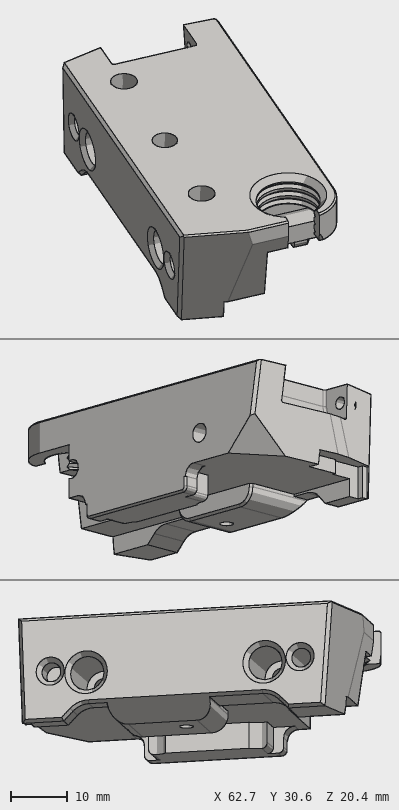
import cadquery as cq
LENGTH = 62.65
DEPTH = 30.6
HEIGHT = 20.35
MARGIN = 3.15
HALF_SPACE = 125.3

BODY_HEIGHT = 15.65
APRON_HEIGHT = 18.9
APRON_DEPTH = 3.8
RIGHT_LEG_DEPTH = 7.8
CENTER_X = 31.5
ARCH_HALF_WIDTH = 20.35
ARCH_Z = -16.05
ARCH_RADIUS = 4.1
FRONT_CHAMFER = 0.55
REAR_CHAMFER = 0.4
TOP_CHAMFER = 0.3
LEFT_REAR_CHAMFER = 0.55

CORNER_RADIUS = 6.9

BORE_X = 55.1
BORE_Y = 22.2
BORE_DIAMETER = 11.3
BORE_MOUTH_DIAMETER = 13.55
BORE_MOUTH_DEPTH = 1.1
BORE_SLOT_WIDTH = 5.9
THREAD_PITCH = 1.6
THREAD_DEPTH = 0.5
THREAD_TURNS = 3
LUG_THICKNESS = 5.9

RIGHT_FRONT_X = 59.75
RIGHT_SEAM_Y = 11.5
RIGHT_FRONT_SLOPE = (RIGHT_FRONT_X - LENGTH) / RIGHT_SEAM_Y

LEFT_FACE = ((0, 24.3, 0), (-1, 0.05, -0.17))
LEFT_FRONT_FACE = ((2.95, 0.5, 0), (-1, -0.246, -0.037))
RIGHT_FACE = ((LENGTH, 0, -3.15), (1, 0, -0.149))
RIGHT_FRONT_FACE = ((RIGHT_FRONT_X, 0, 0), (1, RIGHT_FRONT_SLOPE, -0.07))
RIGHT_FRONT_TOP_CHAMFER = ((RIGHT_FRONT_X - TOP_CHAMFER, 0, 0), (1, RIGHT_FRONT_SLOPE, 1))
REAR_CORNER_FACE = ((1.9, 30.25, -9.4), (-1.55, 1, -1.49))
SEAM_RELIEF_FACE = ((0.675, 11.5, -6.5), (-1, -0.1, -0.104))

POCKET_FRONT = 8.2
POCKET_BACK = 24.3
POCKET_WALL_X = 6.7
POCKET_DEPTH = 6.5
POCKET_RADIUS = 3.45
POCKET_END_RADIUS = 0.45
PIN_DIAMETER = 2.2
PIN_X = 2.9
PIN_Z = -3.15
PIN_DEPTH = 2.9

NOTCH_TOP_Z = -13.1
NOTCH_FRONT = 0.55
NOTCH_LIP_BACK = 1.7
NOTCH_STEP = 7.8
NOTCH_BACK = 14.2
NOTCH_LIP_X = 3.95
NOTCH_DEEP_X = 5.0
NOTCH_SHALLOW_X = 4.4

SCREW_X_OFFSET = 16.15
SCREW_Z = -10.45
SCREW_DIAMETER = 3.4
SCREW_HEAD_DIAMETER = 6.0
SCREW_HEAD_DEPTH = 12.5
SCREW_MOUTH_DIAMETER = 7.7
DOWEL_X_OFFSET = 22.7
DOWEL_Z = -9.9
DOWEL_DIAMETER = 3.4
DOWEL_MOUTH_DIAMETER = 5.1
DOWEL_BLIND_DEPTH = 4.4

TOP_HOLE_Y = 8.2
TOP_HOLES_X = (12.15, 49.0)
TOP_HOLE_DIAMETER = 4.7
TOP_HOLE_END_DIAMETER = 3.8
TOP_HOLE_DEPTH = 5.65
CENTER_HOLE_MOUTH_DIAMETER = 4.45
CENTER_HOLE_DIAMETER = 2.4
CENTER_HOLE_TAPER_DEPTH = 8.8

PAD_LEFT = 19.0
PAD_RIGHT = 37.6
PAD_BACK = 14.4
PAD_BOTTOM_Z = -19.35
PAD_RADIUS = 3.1
PAD_CHAMFER = 0.45

PLATE_HALF_WIDTH = 12.65
PLATE_FRONT = 27.75
PLATE_FLARE_RADIUS = 2.0
BLOCK_HALF_WIDTH = 10.8
BLOCK_FRONT = 22.85
FOOT_RADIUS = 1.0
SCALLOP_DIAMETER = 5.8
SCALLOP_X_OFFSET = 9.5
SCALLOP_Y = 20.7


def box(x_range, y_range, z_range):
    (x0, x1), (y0, y1), (z0, z1) = x_range, y_range, z_range
    return cq.Workplane("XY").box(x1 - x0, y1 - y0, z1 - z0, centered=False).translate((x0, y0, z0))


def outside(face):
    """Everything beyond a plane given as (point, outward direction)."""
    point, normal = face
    plane = cq.Plane(origin=point, normal=normal)
    return cq.Workplane(plane).rect(HALF_SPACE, HALF_SPACE).extrude(HALF_SPACE)


def y_rod(x, z, diameter, y_start, y_end):
    return cq.Workplane("XZ", origin=(x, y_start, z)).circle(diameter / 2).extrude(y_start - y_end)


def z_rod(x, y, diameter, z_bottom, z_top):
    return cq.Workplane("XY", origin=(x, y, z_bottom)).circle(diameter / 2).extrude(z_top - z_bottom)


def cone(point, direction, start_diameter, end_diameter, depth):
    return cq.Workplane(
        cq.Solid.makeCone(start_diameter / 2, end_diameter / 2, depth, cq.Vector(*point), cq.Vector(*direction))
    )


def body():
    """Main body with the front apron, arch, sloping sides and broken edges."""
    shape = (
        box((-MARGIN, LENGTH), (0, DEPTH), (-APRON_HEIGHT, 0))
        .edges("|Z and >X and >Y")
        .fillet(CORNER_RADIUS)
        .faces(">Z")
        .edges(">Y")
        .chamfer(TOP_CHAMFER)
    )
    below_body = (-APRON_HEIGHT - MARGIN, -BODY_HEIGHT)
    shape = shape.cut(box((-2 * MARGIN, CENTER_X), (APRON_DEPTH, DEPTH + MARGIN), below_body))
    shape = shape.cut(box((CENTER_X, LENGTH + MARGIN), (RIGHT_LEG_DEPTH, DEPTH + MARGIN), below_body))

    arch_rise = ARCH_Z + APRON_HEIGHT
    arch = (
        cq.Workplane("XZ", origin=(CENTER_X, -MARGIN, 0))
        .moveTo(-ARCH_HALF_WIDTH, -APRON_HEIGHT)
        .lineTo(-ARCH_HALF_WIDTH + arch_rise, ARCH_Z)
        .lineTo(ARCH_HALF_WIDTH - arch_rise, ARCH_Z)
        .lineTo(ARCH_HALF_WIDTH, -APRON_HEIGHT)
        .close()
        .extrude(-RIGHT_LEG_DEPTH - 2 * MARGIN)
        .edges("|Y and >Z")
        .fillet(ARCH_RADIUS)
    )
    shape = shape.cut(arch)

    for face in (RIGHT_FACE, RIGHT_FRONT_FACE, LEFT_FACE, LEFT_FRONT_FACE, SEAM_RELIEF_FACE):
        shape = shape.cut(outside(face))
    shape = shape.faces("<Y").edges().chamfer(FRONT_CHAMFER)
    shape = shape.faces(">Y").edges("<X").chamfer(LEFT_REAR_CHAMFER)
    return shape.cut(outside(REAR_CORNER_FACE)).cut(outside(RIGHT_FRONT_TOP_CHAMFER))


def pad():
    """Rounded pad under the body, its front sloping at 45 degrees."""
    shape = (
        box((PAD_LEFT, PAD_RIGHT), (0, PAD_BACK), (PAD_BOTTOM_Z, -BODY_HEIGHT + 0.6))
        .edges("|Y and <Z")
        .fillet(PAD_RADIUS)
        .faces(">Y")
        .edges("<Z")
        .chamfer(PAD_CHAMFER)
    )
    slope = ((0, FRONT_CHAMFER, ARCH_Z), (0, -1, -1))
    return shape.cut(outside(slope))


def rear_foot():
    """Plate flared into the body, with a scalloped block in front of it."""
    top = -BODY_HEIGHT
    root = top + 0.6
    plate = (
        box((CENTER_X - PLATE_HALF_WIDTH, CENTER_X + PLATE_HALF_WIDTH), (PLATE_FRONT, DEPTH), (-HEIGHT, root))
        .edges("|Y and <Z")
        .fillet(FOOT_RADIUS)
        .faces(">Y")
        .edges("<Z")
        .chamfer(REAR_CHAMFER)
    )
    flare_half_width = PLATE_HALF_WIDTH + PLATE_FLARE_RADIUS
    flare_z = top - PLATE_FLARE_RADIUS
    flare = box(
        (CENTER_X - flare_half_width, CENTER_X + flare_half_width), (PLATE_FRONT, DEPTH), (flare_z, top)
    )
    block = (
        box((CENTER_X - BLOCK_HALF_WIDTH, CENTER_X + BLOCK_HALF_WIDTH), (BLOCK_FRONT, DEPTH - 0.6), (-HEIGHT, root))
        .edges("|Y and <Z")
        .fillet(FOOT_RADIUS)
    )
    for side in (-1, 1):
        flare = flare.cut(
            y_rod(CENTER_X + side * flare_half_width, flare_z, 2 * PLATE_FLARE_RADIUS, 0, DEPTH + MARGIN)
        )
        block = block.cut(
            z_rod(CENTER_X + side * SCALLOP_X_OFFSET, SCALLOP_Y, SCALLOP_DIAMETER, -HEIGHT - MARGIN, top)
        )
    return plate.union(flare).union(block)


def hinge_pocket():
    """Open pocket in the left side with a blind pin hole in each end wall."""
    pocket = (
        box((-2 * MARGIN, POCKET_WALL_X), (POCKET_FRONT, POCKET_BACK), (-POCKET_DEPTH, MARGIN))
        .edges("|Y and >X and <Z")
        .fillet(POCKET_RADIUS)
        .faces("<Y or >Y")
        .edges()
        .fillet(POCKET_END_RADIUS)
    )
    return pocket.union(y_rod(PIN_X, PIN_Z, PIN_DIAMETER, POCKET_FRONT - PIN_DEPTH, POCKET_BACK + PIN_DEPTH))


def side_notch():
    z_range = (-APRON_HEIGHT - MARGIN, NOTCH_TOP_Z)
    lip = box((-MARGIN, NOTCH_LIP_X), (NOTCH_FRONT, NOTCH_LIP_BACK), z_range)
    deep = box((-MARGIN, NOTCH_DEEP_X), (NOTCH_LIP_BACK, NOTCH_STEP), z_range)
    shallow = box((-MARGIN, NOTCH_SHALLOW_X), (NOTCH_STEP, NOTCH_BACK), z_range)
    return lip.union(deep).union(shallow)


def bore():
    """Vertical threaded bore, modelled with ring grooves, open to the right side, with clearance below its lugs."""
    bottom = -HEIGHT - MARGIN
    tool = z_rod(BORE_X, BORE_Y, BORE_DIAMETER, bottom, MARGIN)
    tool = tool.union(
        cone((BORE_X, BORE_Y, 0), (0, 0, -1), BORE_MOUTH_DIAMETER, BORE_DIAMETER, BORE_MOUTH_DEPTH)
    )
    radius = BORE_DIAMETER / 2
    half_groove = THREAD_PITCH / 3
    for turn in range(THREAD_TURNS):
        z = -BORE_MOUTH_DEPTH - (turn + 0.5) * THREAD_PITCH
        groove = (
            cq.Workplane("XZ", origin=(BORE_X, BORE_Y, z))
            .moveTo(0, -half_groove)
            .lineTo(radius, -half_groove)
            .lineTo(radius + THREAD_DEPTH, 0)
            .lineTo(radius, half_groove)
            .lineTo(0, half_groove)
            .close()
            .revolve(360, (0, 0, 0), (0, 1, 0))
        )
        tool = tool.union(groove)
    slot_front = BORE_Y - BORE_SLOT_WIDTH / 2
    slot = box((BORE_X, LENGTH + MARGIN), (slot_front, slot_front + BORE_SLOT_WIDTH), (bottom, MARGIN))
    clearance_radius = BORE_MOUTH_DIAMETER / 2
    clearance = box(
        (BORE_X - clearance_radius, LENGTH + MARGIN),
        (BORE_Y - clearance_radius, DEPTH + MARGIN),
        (bottom, -LUG_THICKNESS),
    )
    return tool.union(slot).union(clearance)


def front_hole(x, z, mouth_diameter, diameter, depth):
    """Round hole from the front face with a 45 degree countersink."""
    sink_depth = (mouth_diameter - diameter) / 2
    sink = cone((x, 0, z), (0, 1, 0), mouth_diameter, diameter, sink_depth)
    return y_rod(x, z, diameter, 0, depth).union(sink)


def front_holes():
    through = DEPTH + MARGIN
    left_dowel_x = CENTER_X - DOWEL_X_OFFSET
    right_dowel_x = CENTER_X + DOWEL_X_OFFSET
    tool = front_hole(left_dowel_x, DOWEL_Z, DOWEL_MOUTH_DIAMETER, DOWEL_DIAMETER, DOWEL_BLIND_DEPTH)
    tool = tool.union(front_hole(right_dowel_x, DOWEL_Z, DOWEL_MOUTH_DIAMETER, DOWEL_DIAMETER, through))
    for side in (-1, 1):
        x = CENTER_X + side * SCREW_X_OFFSET
        head = front_hole(x, SCREW_Z, SCREW_MOUTH_DIAMETER, SCREW_HEAD_DIAMETER, SCREW_HEAD_DEPTH)
        tool = tool.union(head).union(y_rod(x, SCREW_Z, SCREW_DIAMETER, 0, through))
    return tool


def top_holes():
    down = (0, 0, -1)
    tool = cone(
        (CENTER_X, TOP_HOLE_Y, 0), down, CENTER_HOLE_MOUTH_DIAMETER, CENTER_HOLE_DIAMETER, CENTER_HOLE_TAPER_DEPTH
    )
    tool = tool.union(z_rod(CENTER_X, TOP_HOLE_Y, CENTER_HOLE_DIAMETER, -HEIGHT - MARGIN, 0))
    for x in TOP_HOLES_X:
        tool = tool.union(cone((x, TOP_HOLE_Y, 0), down, TOP_HOLE_DIAMETER, TOP_HOLE_END_DIAMETER, TOP_HOLE_DEPTH))
    return tool


result = body().union(pad()).union(rear_foot())
for cutter in (hinge_pocket(), side_notch(), bore(), front_holes(), top_holes()):
    result = result.cut(cutter)